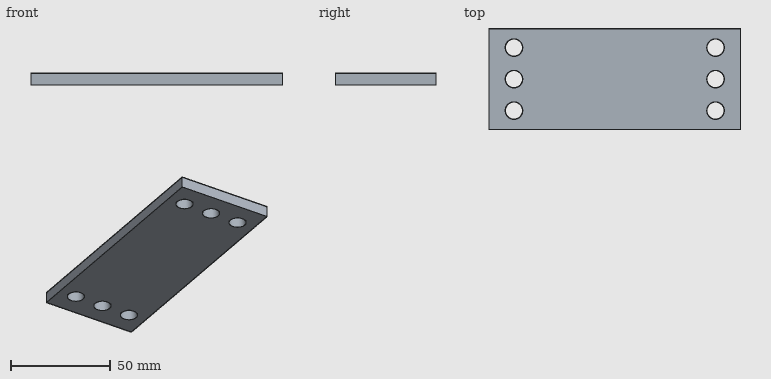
import cadquery as cq

length = 127.0
width = 50.8
thickness = 6.0

hole_diameter = 8.64
row_count = 2
holes_per_row = 3
hole_pitch = 15.875
end_distance = 12.7
row_spacing = length - 2 * end_distance


def make_plate():
    """Flat rectangular plate centred in X and Y, resting on Z = 0."""
    return cq.Workplane("XY").box(length, width, thickness, centered=(True, True, False))


def drill_holes(plate):
    """Drill both rows of holes through the full thickness."""
    return (
        plate.faces(">Z")
        .workplane()
        .rarray(row_spacing, hole_pitch, row_count, holes_per_row)
        .hole(hole_diameter)
    )


result = drill_holes(make_plate())